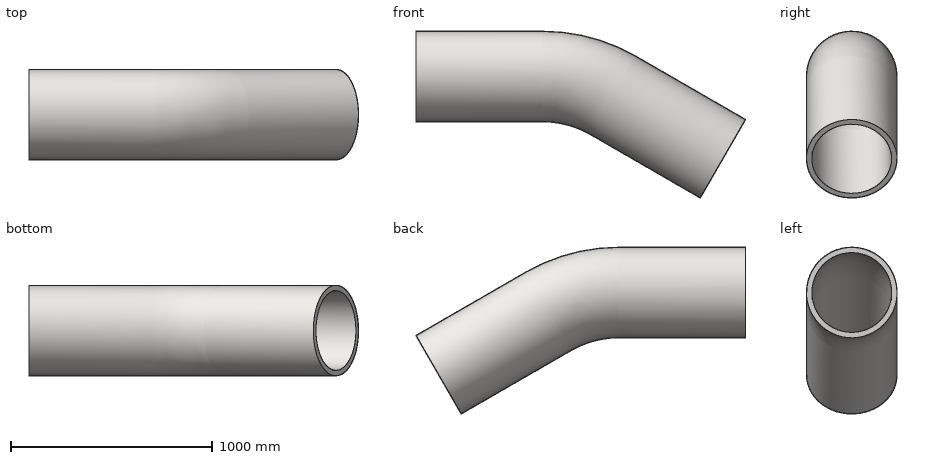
import cadquery as cq
import math

overall_length = 1640.0
outer_diameter = 450.0
inner_diameter = 397.0
bend_radius = 700.0
bend_angle = math.radians(30)

outer_bend_radius = bend_radius + outer_diameter / 2
leg_length = (overall_length - outer_bend_radius * math.sin(bend_angle)) / (1 + math.cos(bend_angle))


def point_on_bend(angle):
    """Centreline point after turning downward by the given angle."""
    return (
        leg_length + bend_radius * math.sin(angle),
        -bend_radius * (1 - math.cos(angle)),
    )


bend_middle = point_on_bend(bend_angle / 2)
bend_end = point_on_bend(bend_angle)
far_end = (
    bend_end[0] + leg_length * math.cos(bend_angle),
    bend_end[1] - leg_length * math.sin(bend_angle),
)

centreline = (
    cq.Workplane("XZ")
    .moveTo(0, 0)
    .lineTo(leg_length, 0)
    .threePointArc(bend_middle, bend_end)
    .lineTo(*far_end)
)

result = (
    cq.Workplane("YZ")
    .circle(outer_diameter / 2)
    .circle(inner_diameter / 2)
    .sweep(centreline)
)